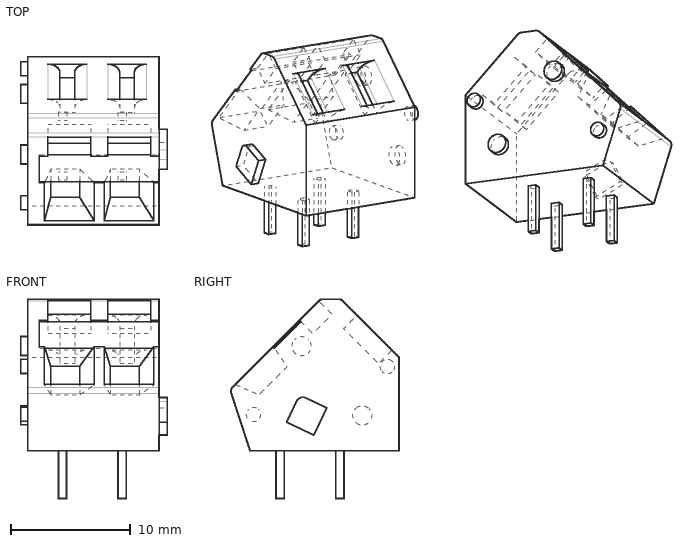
import cadquery as cq
import math

WIDTH = 11.0
HEIGHT = 12.7
BACK_Y = 14.09
FRONT_FOOT_Y = 1.6
NOSE_Y = -0.07
FRONT_CREST_Y = 7.52
REAR_CREST_Y = 9.2
EDGE_RADIUS = 0.5

NOSE_Z = HEIGHT - (FRONT_CREST_Y - NOSE_Y)
REAR_SLOPE_FOOT_Z = HEIGHT - (BACK_Y - REAR_CREST_Y)

POLES = 2
PITCH = 5.0

BAND_LEFT = 0.99
BAND_TOP = 2.5
BAND_BOTTOM = 5.65
BAND_DEPTH = 0.17
SLOT_LEFT = 1.69
SLOT_WIDTH = 3.6
SLOT_TOP = 0.23
SLOT_DEPTH = 1.55
FUNNEL_LEFT = 1.4
FUNNEL_RIGHT = 5.56
FUNNEL_BOTTOM = 10.11
FUNNEL_DEPTH = 1.99
FUNNEL_FLOOR_LEFT = 1.92
FUNNEL_FLOOR_RIGHT = 4.35
FUNNEL_TOP_TAPER = 0.33
FUNNEL_BOTTOM_TAPER = 0.79

MOUTH_LEFT = 1.69
MOUTH_WIDTH = 3.25
MOUTH_TOP = 1.89
MOUTH_BOTTOM = 6.02
MOUTH_DEPTH = 1.59
LIP_RADIUS = 1.0

PEG_LENGTH = 0.6
LARGE_PEG_RADIUS = 0.8
SMALL_PEG_RADIUS = 0.6
PEGS = [
    (13.08, 7.07, SMALL_PEG_RADIUS),
    (5.9, 8.77, LARGE_PEG_RADIUS),
    (10.98, 2.97, LARGE_PEG_RADIUS),
    (1.87, 3.05, SMALL_PEG_RADIUS),
]

BOSS_LENGTH = 0.7
BOSS_SIDE = 2.52
BOSS_TILT = 25.5
BOSS_Y = 6.35
BOSS_Z = 2.99
BOSS_CORNER_RADIUS = 0.58

PIN_SIZE = 0.7
PIN_LENGTH = 4.01
PIN_ROWS = 2
PIN_X = 2.9
PIN_Y = 4.13

FRONT_SLOPE = cq.Plane((0, FRONT_CREST_Y, HEIGHT), (1, 0, 0), (0, -1, 1))
REAR_SLOPE = cq.Plane((0, REAR_CREST_Y, HEIGHT), (1, 0, 0), (0, 1, 1))


def make_block():
    outline = [
        (FRONT_FOOT_Y, 0),
        (BACK_Y, 0),
        (BACK_Y, REAR_SLOPE_FOOT_Z),
        (REAR_CREST_Y, HEIGHT),
        (FRONT_CREST_Y, HEIGHT),
        (NOSE_Y, NOSE_Z),
    ]
    block = cq.Workplane("YZ").polyline(outline).close().extrude(WIDTH)
    rounded_corners = [(REAR_CREST_Y, HEIGHT), (FRONT_CREST_Y, HEIGHT), (NOSE_Y, NOSE_Z)]
    for y, z in rounded_corners:
        edge = cq.selectors.NearestToPointSelector((WIDTH / 2, y, z))
        block = block.edges("|X").edges(edge).fillet(EDGE_RADIUS)
    return block


def front_pocket(left, right, top, bottom, depth):
    """Rectangular cutter sunk square to the front slope."""
    return (
        cq.Workplane(FRONT_SLOPE)
        .center((left + right) / 2, -(top + bottom) / 2)
        .rect(right - left, bottom - top)
        .extrude(-depth)
    )


def funnel(shift):
    """Wire entry cutter that narrows from the front slope to a flat floor."""
    mouth_top = BAND_BOTTOM - FUNNEL_TOP_TAPER * BAND_DEPTH / (FUNNEL_DEPTH - BAND_DEPTH)
    floor_top = BAND_BOTTOM + FUNNEL_TOP_TAPER
    floor_bottom = FUNNEL_BOTTOM - FUNNEL_BOTTOM_TAPER
    return (
        cq.Workplane(FRONT_SLOPE)
        .moveTo(shift + (FUNNEL_LEFT + FUNNEL_RIGHT) / 2, -(mouth_top + FUNNEL_BOTTOM) / 2)
        .rect(FUNNEL_RIGHT - FUNNEL_LEFT, FUNNEL_BOTTOM - mouth_top)
        .workplane(offset=-FUNNEL_DEPTH)
        .moveTo(shift + (FUNNEL_FLOOR_LEFT + FUNNEL_FLOOR_RIGHT) / 2, -(floor_top + floor_bottom) / 2)
        .rect(FUNNEL_FLOOR_RIGHT - FUNNEL_FLOOR_LEFT, floor_bottom - floor_top)
        .loft(ruled=True)
    )


def rear_mouth(shift):
    """Rear slot cutter whose two long sides roll over convex lips."""
    length = MOUTH_BOTTOM - MOUTH_TOP
    centre = (shift + MOUTH_LEFT + MOUTH_WIDTH / 2, (MOUTH_TOP + MOUTH_BOTTOM) / 2)
    cutter = (
        cq.Workplane(REAR_SLOPE)
        .center(*centre)
        .rect(MOUTH_WIDTH, length)
        .extrude(-MOUTH_DEPTH)
    )
    side_offset = MOUTH_WIDTH / 2
    profile_plane = cq.Plane(
        REAR_SLOPE.toWorldCoords((centre[0], MOUTH_BOTTOM, 0)), (1, 0, 0), -REAR_SLOPE.yDir
    )
    for side in (-1, 1):
        lip_edge = side * side_offset
        throat_edge = side * (side_offset - LIP_RADIUS)
        arc_middle = (
            lip_edge - side * LIP_RADIUS * math.sin(math.radians(45)),
            -LIP_RADIUS * (1 - math.cos(math.radians(45))),
        )
        lip = (
            cq.Workplane(profile_plane)
            .moveTo(lip_edge, 0)
            .threePointArc(arc_middle, (throat_edge, -LIP_RADIUS))
            .lineTo(throat_edge, -MOUTH_DEPTH)
            .lineTo(lip_edge, -MOUTH_DEPTH)
            .close()
            .extrude(length)
        )
        cutter = cutter.cut(lip)
    return cutter


def make_peg(y, z, radius):
    return cq.Workplane("YZ").center(y, z).circle(radius).extrude(-PEG_LENGTH)


def make_boss():
    return (
        cq.Workplane("YZ")
        .rect(BOSS_SIDE, BOSS_SIDE)
        .extrude(BOSS_LENGTH)
        .edges("|X")
        .edges(cq.selectors.NearestToPointSelector((0, -BOSS_SIDE / 2, BOSS_SIDE / 2)))
        .fillet(BOSS_CORNER_RADIUS)
        .rotate((0, 0, 0), (1, 0, 0), -BOSS_TILT)
        .translate((WIDTH, BOSS_Y, BOSS_Z))
    )


def make_housing():
    housing = make_block()
    housing = housing.cut(front_pocket(BAND_LEFT, WIDTH, BAND_TOP, BAND_BOTTOM, BAND_DEPTH))
    for pole in range(POLES):
        shift = pole * PITCH
        slot_left = SLOT_LEFT + shift
        housing = housing.cut(
            front_pocket(slot_left, slot_left + SLOT_WIDTH, SLOT_TOP, BAND_TOP, SLOT_DEPTH)
        )
        housing = housing.cut(funnel(shift))
        housing = housing.cut(rear_mouth(shift))
    for y, z, radius in PEGS:
        housing = housing.union(make_peg(y, z, radius))
    return housing.union(make_boss())


def make_pin(column, row):
    return (
        cq.Workplane("XY")
        .center(PIN_X + column * PITCH, PIN_Y + row * PITCH)
        .rect(PIN_SIZE, PIN_SIZE)
        .extrude(-PIN_LENGTH)
    )


housing = make_housing()
pins = [make_pin(column, row).val() for column in range(POLES) for row in range(PIN_ROWS)]

result = cq.Compound.makeCompound([housing.val(), *pins])